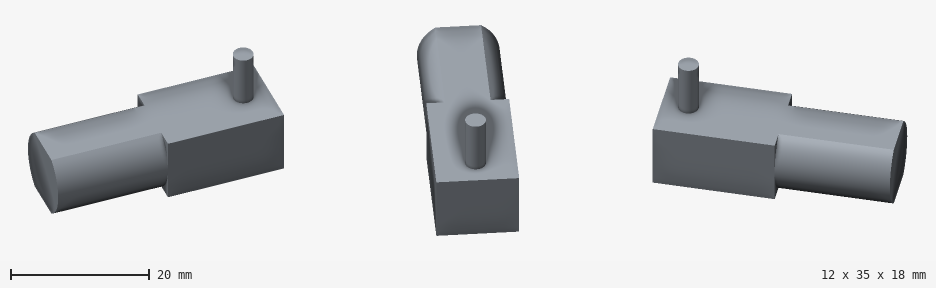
import cadquery as cq

total_length = 35.0
body_width = 12.0
body_height = 10.0
gearbox_length = 18.0
total_height = 18.0
shaft_diameter = 3.0
shaft_inset = 4.0

motor_length = total_length - gearbox_length
shaft_length = total_height - body_height


def make_gearbox():
    """Rectangular housing whose front face lies on Y = 0."""
    return cq.Workplane("XY").box(
        body_width, gearbox_length, body_height, centered=(True, False, True)
    )


def make_motor():
    """Round can extending toward -Y, cut flat on its top and bottom."""
    can = cq.Workplane("XZ").circle(body_width / 2).extrude(motor_length)
    flats = cq.Workplane("XZ").rect(body_width, body_height).extrude(motor_length)
    return can.intersect(flats)


def make_shaft():
    """Output shaft standing on the top face near the rear of the gearbox."""
    return (
        cq.Workplane("XY", origin=(0, gearbox_length - shaft_inset, body_height / 2))
        .circle(shaft_diameter / 2)
        .extrude(shaft_length)
    )


result = make_gearbox().union(make_motor()).union(make_shaft())